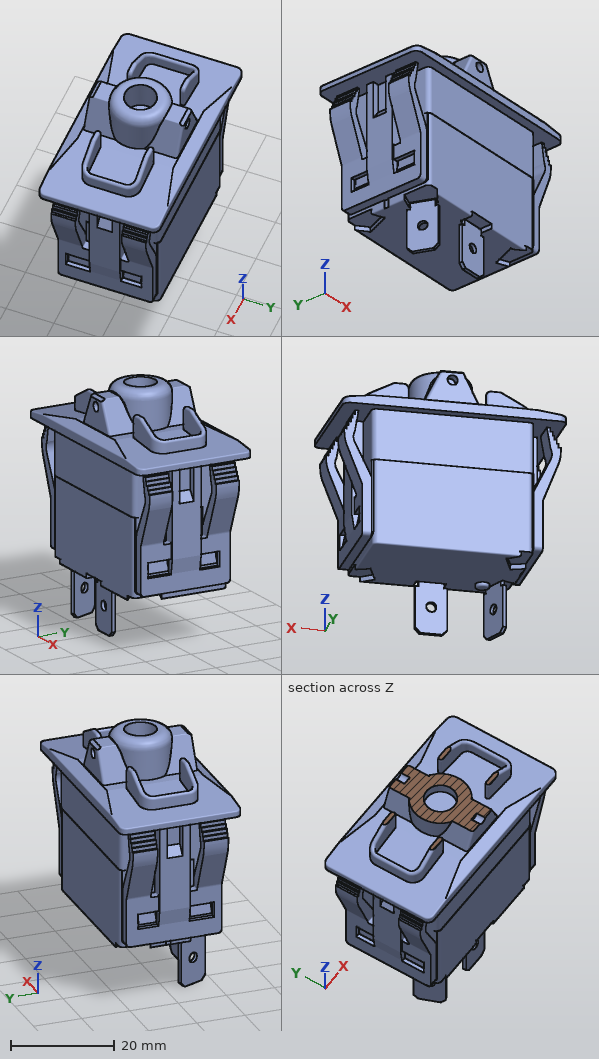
import cadquery as cq
import math


flange_length = 44.5
flange_width = 25.15
flange_corner_radius = 1.5
flange_edge_round = 0.3
crown_height = 3.05
crown_half_length = 7.84
crown_half_width = 10.0
flange_end_height = 1.3
flange_side_height = 1.9

housing_width = 20.8
upper_width = 20.9
upper_length = 32.26
upper_depth = 10.46
lower_length = 32.0
housing_bottom = -27.9
housing_corner_radius = 1.0
bottom_edge_round = 0.3
overlap = 0.5

plate_face = 18.0
plate_half_width = 9.9
backing_half_width = 10.0
plate_bottom = -26.06
plate_top = -15.9
plate_corner_radius = 0.8
rib_face = 18.46
rib_half_width = 3.2
rib_taper_top = -19.35
rib_taper_bottom = -22.35
rib_pocket_width = 3.15
rib_pocket_depth = 1.5
rib_pocket_ramp_top = -6.23
rib_pocket_ramp_bottom = -8.2
arm_inner_y = 4.82
slot_bottom = -16.2
slot_corner_radius = 0.3
arm_tip_x = 18.75
arm_tip_z = -0.46
arm_root_z = -14.0
arm_bend_x = 19.5
arm_bend_bottom = -7.1
arm_bend_top = -4.8
arm_hollow_x = 19.77
arm_hollow_z = -5.7
tooth_faces = (19.44, 19.93, 20.26, 20.75, 21.1)
tooth_pitch = 0.79
arm_crest_x = 21.57
arm_crest_end_z = -5.2
arm_slope_x = 21.15
arm_slope_z = -7.7
arm_root_offset = 0.07
arm_root_rise = 0.35

window_top = rib_taper_top
window_bottom = -22.5
window_depth = 0.95
front_window_end = -8.3
rear_window_end = 7.5
latch_margin = 0.33
latch_bottom = -21.8
latch_height = 0.5
seam_groove_width = 1.0
seam_groove_y = 0.4
seam_groove_depth = 0.2

tab_width = 6.4
tab_thickness = 0.8
tab_neck_width = 5.06
tab_shoulder_z = -28.85
tab_bottom = -38.5
tab_tip_chamfer = 1.0
tab_hole_diameter = 2.0
tab_hole_z = -32.95
tab_root_bevel = 0.65
tab_root_z = -26.85
centre_tab_face_y = -8.15
angled_tab_x = -12.67
angled_tab_y = -6.03
angled_tab_turn = 22.0
notch_width = 5.95
corner_notch_edge_x = 13.5
pip_diameter = 2.8
pip_bottom = -28.7
pip_x = -9.83
pip_y = -6.0
pip_round = 0.4

pivot_base_half_width = 5.35
pivot_top_half_width = 2.13
pivot_top = 9.7
pivot_length = 19.7
pivot_edge_round = 0.5
pivot_ridge_round = 0.25
pivot_end_drop = 0.8
pivot_end_setback = 0.5
pivot_hole_diameter = 2.0
pivot_hole_z = 7.64
pivot_hole_depth = 2.0

knob_radius = 6.15
knob_base_half_width = 3.4
knob_middle_half_width = 4.7
knob_middle_z = 6.2
knob_flare_half_width = 5.25
knob_flare_z = 8.4
knob_crest_z = 10.6
knob_top = 11.2
knob_round = 2.0
knob_hole_diameter = 6.4
knob_hole_depth = 6.0

guard_outer_x = 17.15
guard_open_x = 7.7
guard_width = 12.1
guard_wall = 1.05
guard_corner_radius = 2.5
guard_top = 7.68
guard_slope_start_x = 10.6
guard_outer_top = 4.25
guard_tip_round = 1.0
guard_edge_round = 0.5
upward_normal = 0.5


def box(x0, x1, y0, y1, z0, z1):
    """Box between two opposite corners."""
    return cq.Workplane("XY").box(x1 - x0, y1 - y0, z1 - z0, centered=False).translate((x0, y0, z0))


def extrude_along_y(points, y0, y1):
    """Closed X-Z outline extruded from y0 to y1."""
    return cq.Workplane("XZ", origin=(0, y1, 0)).polyline(points).close().extrude(y1 - y0)


def mirror_x(body):
    """Copy on the other side of X = 0."""
    return body.mirror("YZ")


def mirror_y(body):
    """Copy on the other side of Y = 0."""
    return body.mirror("XZ")


def make_flange():
    """Rounded plate with a flat crown falling away on all four sides."""
    half_length = flange_length / 2
    half_width = flange_width / 2

    def lies_on_outline(point):
        near_end = abs(point.x) > half_length - flange_corner_radius
        return near_end or abs(point.y) > half_width - flange_edge_round

    plate = box(-half_length, half_length, -half_width, half_width, 0, crown_height)
    plate = plate.edges("|Z").fillet(flange_corner_radius)
    end_slopes = extrude_along_y(
        [
            (-half_length, 0),
            (half_length, 0),
            (half_length, flange_end_height),
            (crown_half_length, crown_height),
            (-crown_half_length, crown_height),
            (-half_length, flange_end_height),
        ],
        -half_width,
        half_width,
    )
    side_slopes = (
        cq.Workplane("YZ", origin=(-half_length, 0, 0))
        .polyline(
            [
                (-half_width, 0),
                (half_width, 0),
                (half_width, flange_side_height),
                (crown_half_width, crown_height),
                (-crown_half_width, crown_height),
                (-half_width, flange_side_height),
            ]
        )
        .close()
        .extrude(flange_length)
    )
    flange = plate.intersect(end_slopes).intersect(side_slopes)
    rim = [
        edge
        for edge in flange.edges("not(|Z)").vals()
        if edge.BoundingBox().zmin > flange_edge_round and lies_on_outline(edge.Center())
    ]
    return flange.newObject(rim).fillet(flange_edge_round)


def make_housing():
    """Upper collar and slightly shorter lower case."""
    upper = (
        cq.Workplane("XY")
        .rect(upper_length, upper_width)
        .extrude(-upper_depth)
        .edges("|Z")
        .fillet(housing_corner_radius)
    )
    lower = (
        cq.Workplane("XY", origin=(0, 0, -upper_depth))
        .rect(lower_length, housing_width)
        .extrude(housing_bottom + upper_depth)
        .edges("|Z")
        .fillet(housing_corner_radius)
        .faces("<Z")
        .edges()
        .fillet(bottom_edge_round)
    )
    return upper.union(lower)


def make_snap_arm():
    """Sprung arm on the +X, +Y side with a stepped tip."""
    outline = cq.Workplane("XZ", origin=(0, plate_half_width, 0)).moveTo(arm_tip_x, arm_tip_z)
    z = arm_tip_z
    for face in tooth_faces:
        outline = outline.lineTo(face, z)
        z -= tooth_pitch
        outline = outline.lineTo(face, z)
    outline = (
        outline.lineTo(arm_crest_x, z)
        .lineTo(arm_crest_x, arm_crest_end_z)
        .tangentArcPoint((arm_slope_x, arm_slope_z), relative=False)
        .lineTo(plate_face + arm_root_offset, plate_top + arm_root_rise)
        .tangentArcPoint((plate_face, plate_top), relative=False)
        .lineTo(plate_face, plate_top - overlap)
        .lineTo(lower_length / 2 - overlap, plate_top - overlap)
        .lineTo(lower_length / 2 - overlap, arm_root_z)
        .lineTo(upper_length / 2, arm_root_z)
        .lineTo(arm_bend_x, arm_bend_bottom)
        .threePointArc((arm_hollow_x, arm_hollow_z), (arm_bend_x, arm_bend_top))
        .close()
    )
    return outline.extrude(plate_half_width - arm_inner_y)


def make_latch_window(y0, y1):
    """Cutter for one window, with its snap ramp left standing inside."""
    floor_x = plate_face - window_depth
    opening = box(floor_x, rib_face + overlap, y0, y1, window_bottom, window_top)
    ramp = extrude_along_y(
        [
            (floor_x, window_top),
            (floor_x + latch_height, latch_bottom),
            (floor_x, latch_bottom),
        ],
        y0 + latch_margin,
        y1 - latch_margin,
    )
    return opening.cut(ramp)


def make_end():
    """Plate, rib, snap arms and latch windows of the +X end."""
    inner_x = lower_length / 2 - overlap
    plate = box(inner_x, plate_face, -plate_half_width, plate_half_width, plate_bottom, plate_top)
    plate = plate.edges("|X and <Z").fillet(plate_corner_radius)
    backing = box(
        inner_x, upper_length / 2, -backing_half_width, backing_half_width, plate_bottom, -upper_depth
    )
    plate = plate.union(backing.edges("|X and <Z").fillet(plate_corner_radius))
    for side in (-1, 1):
        y0, y1 = sorted((side * rib_half_width, side * arm_inner_y))
        slot = box(lower_length / 2, rib_face, y0, y1, slot_bottom, -upper_depth)
        plate = plate.cut(slot.edges("|X and <Z").fillet(slot_corner_radius))
    arm = make_snap_arm()
    rib = extrude_along_y(
        [
            (inner_x, 0),
            (rib_face, 0),
            (rib_face, rib_taper_top),
            (plate_face, rib_taper_bottom),
            (inner_x, rib_taper_bottom),
        ],
        -rib_half_width,
        rib_half_width,
    )
    pocket_floor = rib_face - rib_pocket_depth
    pocket = extrude_along_y(
        [
            (pocket_floor, 0),
            (rib_face, 0),
            (rib_face, rib_pocket_ramp_bottom),
            (pocket_floor, rib_pocket_ramp_top),
        ],
        -rib_pocket_width / 2,
        rib_pocket_width / 2,
    )
    end = plate.union(arm).union(mirror_y(arm)).union(rib.cut(pocket))
    end = end.cut(make_latch_window(front_window_end, -rib_half_width))
    return end.cut(make_latch_window(rib_half_width, rear_window_end))


def make_terminal():
    """Spade terminal with its outer face on the X-Z plane, facing -Y."""
    half = tab_width / 2
    neck = tab_neck_width / 2
    blade = extrude_along_y(
        [(-half, tab_bottom), (half, tab_bottom), (half, tab_shoulder_z), (-half, tab_shoulder_z)],
        0,
        tab_thickness,
    )
    blade = blade.edges("|Y and <Z").chamfer(tab_tip_chamfer)
    hole = (
        cq.Workplane("XZ")
        .center(0, tab_hole_z)
        .circle(tab_hole_diameter / 2)
        .extrude(-tab_thickness)
    )
    root = box(-neck, neck, 0, tab_thickness, tab_shoulder_z, tab_root_z)
    root = root.edges("|X and >Z and <Y").chamfer(tab_root_bevel)
    return blade.cut(hole).union(root)


def make_centre_notch():
    """Recess in the bottom front edge where the middle terminal leaves the case."""
    return box(
        -notch_width / 2,
        notch_width / 2,
        -housing_width / 2,
        centre_tab_face_y + tab_root_bevel,
        housing_bottom,
        tab_root_z,
    )


def make_corner_notch():
    """Recess in the -X, -Y bottom corner, open to both outer faces."""
    turn = math.radians(angled_tab_turn)
    along_x = notch_width / 2 * math.sin(turn)
    along_y = notch_width / 2 * math.cos(turn)
    front_end = (angled_tab_x + along_x, angled_tab_y - along_y)
    rear_end = (angled_tab_x - along_x, angled_tab_y + along_y)
    side_x = -lower_length / 2
    side_y = rear_end[1] - (rear_end[0] - side_x) * math.tan(turn)
    root_x = tab_root_bevel * math.cos(turn)
    root_y = tab_root_bevel * math.sin(turn)
    points = [
        (side_x, -housing_width / 2),
        (-corner_notch_edge_x, -housing_width / 2),
        front_end,
        (front_end[0] + root_x, front_end[1] + root_y),
        (rear_end[0] + root_x, rear_end[1] + root_y),
        rear_end,
        (side_x, side_y),
    ]
    depth = tab_root_z - housing_bottom
    return cq.Workplane("XY", origin=(0, 0, housing_bottom)).polyline(points).close().extrude(depth)


def make_pip():
    """Small rounded stud under the case beside the angled terminal."""
    return (
        cq.Workplane("XY", origin=(pip_x, pip_y, pip_bottom))
        .circle(pip_diameter / 2)
        .extrude(housing_bottom + overlap - pip_bottom)
        .faces("<Z")
        .edges()
        .fillet(pip_round)
    )


def make_seam_groove():
    """Shallow upright groove in the -X face of the case below the end plate."""
    side_x = -lower_length / 2
    half = seam_groove_width / 2
    return box(
        side_x,
        side_x + seam_groove_depth,
        seam_groove_y - half,
        seam_groove_y + half,
        housing_bottom,
        plate_bottom,
    )


def make_pivot_block():
    """Trapezoidal pivot block across the crown with a blind hole in each end."""
    half_length = pivot_length / 2
    block = extrude_along_y(
        [
            (-pivot_base_half_width, crown_height - overlap),
            (-pivot_base_half_width, crown_height),
            (-pivot_top_half_width, pivot_top),
            (pivot_top_half_width, pivot_top),
            (pivot_base_half_width, crown_height),
            (pivot_base_half_width, crown_height - overlap),
        ],
        -half_length,
        half_length,
    )
    block = block.faces(">Z").edges("|X").chamfer(pivot_end_drop, pivot_end_setback)
    block = block.faces(">Z").edges("|Y").fillet(pivot_ridge_round)
    upright_edges = [
        edge
        for edge in block.faces("<Y or >Y").edges("not(|X)").vals()
        if edge.Length() > pivot_top - crown_height - pivot_end_drop
    ]
    block = block.newObject(upright_edges).fillet(pivot_edge_round)
    for side in (-1, 1):
        hole = (
            cq.Workplane("XZ", origin=(0, side * half_length, pivot_hole_z))
            .circle(pivot_hole_diameter / 2)
            .extrude(side * pivot_hole_depth)
        )
        block = block.cut(hole)
    return block


def make_knob():
    """Domed cylinder whose front and rear sides curve inward toward the crown."""
    knob = (
        cq.Workplane("XY", origin=(0, 0, crown_height))
        .circle(knob_radius)
        .extrude(knob_top - crown_height)
        .faces(">Z")
        .edges()
        .fillet(knob_round)
    )
    waist = (
        cq.Workplane("YZ", origin=(-knob_radius, 0, 0))
        .moveTo(-knob_base_half_width, crown_height)
        .lineTo(knob_base_half_width, crown_height)
        .threePointArc((knob_middle_half_width, knob_middle_z), (knob_flare_half_width, knob_flare_z))
        .lineTo(knob_radius, knob_crest_z)
        .lineTo(knob_radius, knob_top)
        .lineTo(-knob_radius, knob_top)
        .lineTo(-knob_radius, knob_crest_z)
        .lineTo(-knob_flare_half_width, knob_flare_z)
        .threePointArc((-knob_middle_half_width, knob_middle_z), (-knob_base_half_width, crown_height))
        .close()
        .extrude(2 * knob_radius)
    )
    return knob.intersect(waist)


def make_guard():
    """U-shaped finger guard on the +X side, open toward the knob."""
    half_width = guard_width / 2
    outer = box(guard_open_x, guard_outer_x, -half_width, half_width, flange_end_height, guard_top)
    outer = outer.edges("|Z and >X").fillet(guard_corner_radius)
    inner_half = half_width - guard_wall
    inner_x = guard_outer_x - guard_wall
    inner = box(guard_open_x, inner_x, -inner_half, inner_half, flange_end_height, guard_top)
    inner = inner.edges("|Z and >X").fillet(guard_corner_radius - guard_wall)
    profile = extrude_along_y(
        [
            (guard_open_x, flange_end_height),
            (guard_outer_x, flange_end_height),
            (guard_outer_x, guard_outer_top),
            (guard_slope_start_x, guard_top),
            (guard_open_x, guard_top),
        ],
        -half_width,
        half_width,
    )
    profile = profile.edges("|Y and >Z and <X").fillet(guard_tip_round)
    guard = outer.cut(inner).intersect(profile)
    top_faces = [face for face in guard.faces().vals() if face.normalAt().z > upward_normal]
    return guard.newObject(top_faces).edges().fillet(guard_edge_round)


def make_corner_notches():
    """Matching notches in three of the four bottom corners."""
    notch = make_corner_notch()
    return notch.union(mirror_x(notch)).union(mirror_y(notch))


def make_angled_terminal():
    """Terminal turned about Z, with its outer face toward the -X, -Y corner."""
    turned = make_terminal().rotate((0, 0, 0), (0, 0, 1), angled_tab_turn - 90)
    return turned.translate((angled_tab_x, angled_tab_y, 0))


def make_knob_bore():
    """Blind bore in the top of the knob."""
    top = cq.Workplane("XY", origin=(0, 0, knob_top))
    return top.circle(knob_hole_diameter / 2).extrude(-knob_hole_depth)


end = make_end()
guard = make_guard()

result = make_housing().union(make_flange())
result = result.union(end).union(mirror_x(end))
result = result.union(guard).union(mirror_x(guard))
result = result.union(make_pivot_block()).union(make_knob()).cut(make_knob_bore())
result = result.cut(make_corner_notches()).cut(make_centre_notch()).cut(make_seam_groove())
result = result.union(make_pip())
result = result.union(make_terminal().translate((0, centre_tab_face_y, 0)))
result = result.union(make_angled_terminal())